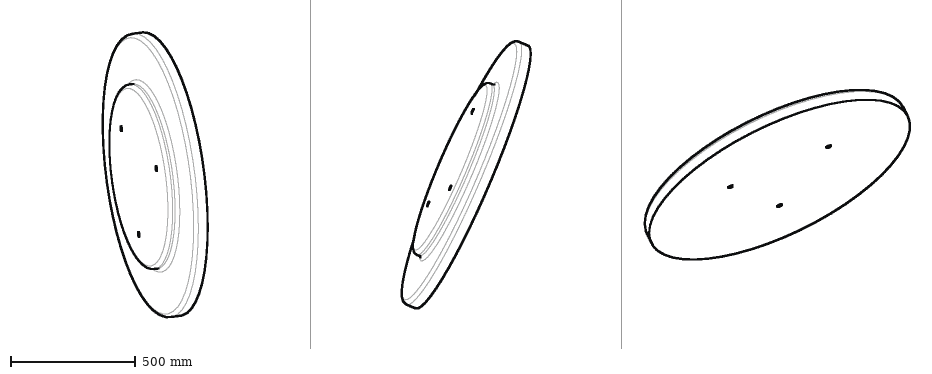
import cadquery as cq
import math

disc_diameter = 1150.0
total_depth = 95.0
hub_height = 40.0
hub_diameter = 750.0
edge_radius = 15.0
hole_diameter = 20.0
hole_circle_radius = 250.0
hole_angles = (30, 150, 270)

disc_thickness = total_depth - hub_height
disc_radius = disc_diameter / 2
hub_radius = hub_diameter / 2
back_y = total_depth / 2
disc_face_y = back_y - disc_thickness
hub_face_y = -total_depth / 2


def make_body():
    """Revolve the half profile: disc with rounded rim, and hub with rounded foot and edge."""
    profile = (
        cq.Workplane("XY")
        .moveTo(0, back_y)
        .lineTo(disc_radius, back_y)
        .lineTo(disc_radius, disc_face_y + edge_radius)
        .radiusArc((disc_radius - edge_radius, disc_face_y), edge_radius)
        .lineTo(hub_radius + edge_radius, disc_face_y)
        .radiusArc((hub_radius, disc_face_y - edge_radius), -edge_radius)
        .lineTo(hub_radius, hub_face_y + edge_radius)
        .radiusArc((hub_radius - edge_radius, hub_face_y), edge_radius)
        .lineTo(0, hub_face_y)
        .close()
    )
    return profile.revolve(360, (0, 0, 0), (0, 1, 0))


def make_holes():
    """Through holes evenly spaced on a circle, one of them straight below the axis."""
    centres = [
        (
            hole_circle_radius * math.cos(math.radians(angle)),
            hole_circle_radius * math.sin(math.radians(angle)),
        )
        for angle in hole_angles
    ]
    return (
        cq.Workplane("XZ", origin=(0, back_y, 0))
        .pushPoints(centres)
        .circle(hole_diameter / 2)
        .extrude(total_depth)
    )


result = make_body().cut(make_holes())